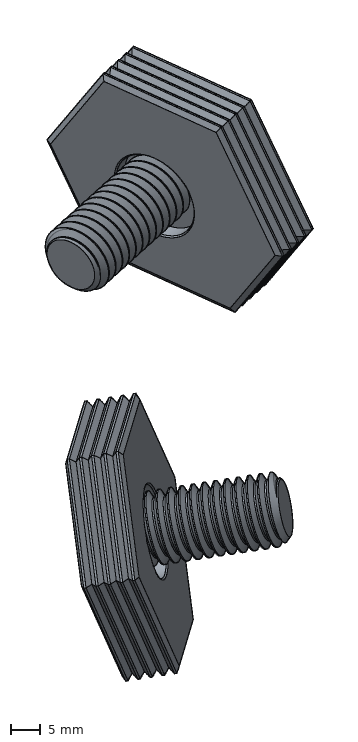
import cadquery as cq
import math


inch = 25.4

jaw_thickness = 10.0
smallest_flat_distance = 18.0
flat_distance_step = 1.0
flat_count = 6

ridge_count = 5
ridge_pitch = inch / 12
ridge_height = 1.0
ridge_crest_width = 0.4
edge_bevel_width = (jaw_thickness - (ridge_count - 1) * ridge_pitch - ridge_crest_width) / 2

bore_radius = 8.0
bore_chamfer = 0.25

head_recess = 2.75
eccentricity = 1.0
shank_projection = 22.77
tip_chamfer = 1.45

thread_radius = inch / 2 / 2
thread_pitch = inch / 13
thread_crest_width = thread_pitch / 8
thread_depth = 1.23
core_radius = thread_radius - thread_depth
thread_half_angle = math.radians(30)
ridge_sink = 0.1
envelope_clearance = 0.5
crest_to_tip = 2.10


def hexagon_corners(y, inset):
    """Corner points, in the plane at y, of the hexagon whose flats are all moved in by inset."""
    step_angle = 2 * math.pi / flat_count
    corners = []
    for i in range(flat_count):
        angle = -math.pi / 2 - i * step_angle
        here = smallest_flat_distance + i * flat_distance_step - inset
        following = smallest_flat_distance + (i + 1) % flat_count * flat_distance_step - inset
        along = (following - here * math.cos(step_angle)) / math.sin(step_angle)
        x = here * math.cos(angle) + along * math.sin(angle)
        z = here * math.sin(angle) - along * math.cos(angle)
        corners.append(cq.Vector(x, y, z))
    return corners


def hexagon_wire(y, inset):
    return cq.Wire.makePolygon(hexagon_corners(y, inset), close=True)


def make_ridge(index):
    """One layer of the jaw, from the valley or face on its -Y side to the one on its +Y side."""
    middle = edge_bevel_width + ridge_crest_width / 2 + index * ridge_pitch
    bottom = max(0, middle - ridge_pitch / 2)
    top = min(jaw_thickness, middle + ridge_pitch / 2)
    sections = [
        hexagon_wire(bottom, ridge_height),
        hexagon_wire(middle - ridge_crest_width / 2, 0),
        hexagon_wire(middle + ridge_crest_width / 2, 0),
        hexagon_wire(top, ridge_height),
    ]
    return cq.Workplane(cq.Solid.makeLoft(sections, True))


def make_jaw():
    jaw = make_ridge(0)
    for index in range(1, ridge_count):
        jaw = jaw.union(make_ridge(index))
    bore_profile = [
        (0, 0),
        (bore_radius + bore_chamfer, 0),
        (bore_radius, bore_chamfer),
        (bore_radius, jaw_thickness),
        (0, jaw_thickness),
    ]
    bore = cq.Workplane("XY").polyline(bore_profile).close().revolve(360, (0, 0), (0, 1))
    return jaw.cut(bore)


def make_thread_ridge(length):
    """Helical ridge along +Z, longer than the shank at both ends, its last full crest on the +X side."""
    last_crest = length - crest_to_tip
    start = last_crest - math.ceil(last_crest / thread_pitch + 1) * thread_pitch
    turns = math.ceil((length - start) / thread_pitch) + 1
    base_radius = core_radius - ridge_sink
    half_crest = thread_crest_width / 2
    half_base = half_crest + (thread_radius - base_radius) * math.tan(thread_half_angle)
    ridge_profile = [
        (base_radius, -half_base),
        (thread_radius, -half_crest),
        (thread_radius, half_crest),
        (base_radius, half_base),
    ]
    helix = cq.Wire.makeHelix(thread_pitch, turns * thread_pitch, thread_radius)
    return (
        cq.Workplane("XZ")
        .polyline(ridge_profile)
        .close()
        .sweep(cq.Workplane(helix), isFrenet=True)
        .translate((0, 0, start))
    )


def make_shank():
    """Threaded shank, modelled along +Z from the head (z = 0) to its tip."""
    length = head_recess + shank_projection
    tip_radius = thread_radius - tip_chamfer
    envelope_radius = thread_radius + envelope_clearance
    envelope_profile = [
        (0, 0),
        (envelope_radius, 0),
        (envelope_radius, length - (envelope_radius - tip_radius)),
        (tip_radius, length),
        (0, length),
    ]
    envelope = cq.Workplane("XZ").polyline(envelope_profile).close().revolve(360, (0, 0), (0, 1))
    core = cq.Workplane("XY").circle(core_radius).extrude(length).intersect(envelope)
    ridge = make_thread_ridge(length).intersect(envelope)
    return ridge.union(core)


def make_screw():
    head = (
        cq.Workplane("XZ", origin=(0, jaw_thickness, 0))
        .circle(bore_radius)
        .extrude(jaw_thickness - head_recess)
    )
    shank = (
        make_shank()
        .rotate((0, 0, 0), (1, 0, 0), 90)
        .translate((-eccentricity, head_recess, 0))
    )
    return head.union(shank)


jaw = make_jaw()
screw = make_screw()

result = cq.Compound.makeCompound([jaw.val(), screw.val()])